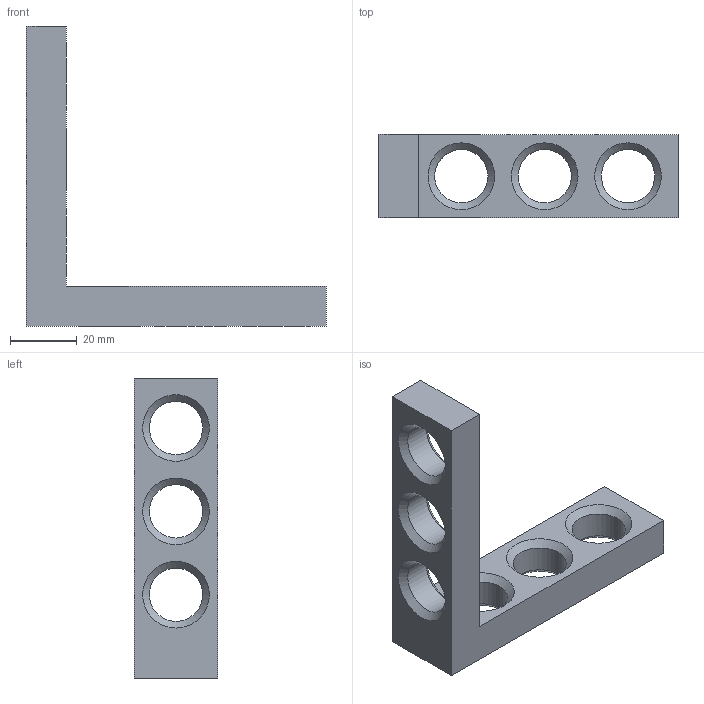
import cadquery as cq

leg_length = 90.0
width = 25.0
thickness = 12.0

hole_count = 3
hole_pitch = 25.0
end_to_first_hole = 15.0
hole_diameter = 16.0
chamfer_depth = 2.0
chamfer_diameter = hole_diameter + 2 * chamfer_depth

hole_distances = [
    leg_length - end_to_first_hole - index * hole_pitch
    for index in range(hole_count)
]


def make_bracket_body():
    """Two equal legs meeting in a square corner at the origin, centred on Y = 0."""
    outline = [
        (0, 0),
        (leg_length, 0),
        (leg_length, thickness),
        (thickness, thickness),
        (thickness, leg_length),
        (0, leg_length),
    ]
    return cq.Workplane("XZ").polyline(outline).close().extrude(width / 2, both=True)


def make_hole_cutter(center, direction):
    """Through hole with a 45 degree chamfer at both mouths, starting at center."""
    start = cq.Vector(*center)
    axis = cq.Vector(*direction)
    end = start + axis * thickness
    mouth_radius = chamfer_diameter / 2
    hole_radius = hole_diameter / 2

    bore = cq.Solid.makeCylinder(hole_radius, thickness, start, axis)
    near_cone = cq.Solid.makeCone(mouth_radius, hole_radius, chamfer_depth, start, axis)
    far_cone = cq.Solid.makeCone(mouth_radius, hole_radius, chamfer_depth, end, axis * -1)
    return bore.fuse(near_cone, far_cone)


result = make_bracket_body()
for distance in hole_distances:
    result = result.cut(make_hole_cutter((distance, 0, 0), (0, 0, 1)))
    result = result.cut(make_hole_cutter((0, 0, distance), (1, 0, 0)))